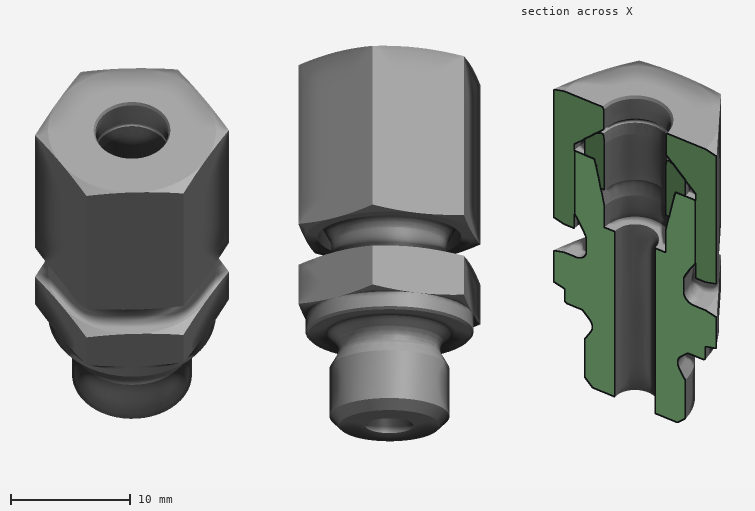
import cadquery as cq
import math


hex_width = 14.0
hex_chamfer_angle = 15.0
union_thread_diameter = 12.0
tube_diameter = 6.0
relief_angle = 30.0
relief_radius = 1.0

stud_length = 8.0
collar_height = 1.5
body_hex_height = 4.0
hex_base_z = stud_length + collar_height
hex_top_z = hex_base_z + body_hex_height
body_top_z = 25.0
nut_top_z = 31.0
nut_length = 14.5
nut_base_z = nut_top_z - nut_length

stud_diameter = 10.0
stud_chamfer = 0.8
stud_thread_top_z = 5.0
stud_shoulder_diameter = 10.45
collar_chamfer = 0.2

neck_diameter = 9.7
neck_straight_top_z = 15.86

through_bore_diameter = 4.0
tube_socket_depth = 7.0
mouth_diameter = 8.0
mouth_half_angle = 12.0

nut_bore_diameter = 6.1
nut_bore_chamfer_diameter = 6.4
nut_bore_chamfer_height = 0.25
nut_bore_length = 2.39

ring_top_z = 28.1
ring_collar_diameter = 10.0
ring_face_diameter = 6.80
ring_bevel_angle = 30.0
ring_mouth_diameter = 6.24
ring_taper_length = 1.1
ring_tail_length = 3.0


def slope(angle):
    return math.tan(math.radians(angle))


def revolve_profile(sketch):
    """Turn a closed (radius, z) outline about the Z axis."""
    return sketch.close().revolve(360, (0, 0, 0), (0, 1, 0))


def circle_edge(radius, z):
    """Selector for the edges around the axis at one radius and height."""
    tolerance = 0.01
    lower = (-radius - tolerance, -radius - tolerance, z - tolerance)
    upper = (radius + tolerance, radius + tolerance, z + tolerance)
    return cq.selectors.BoxSelector(lower, upper, boundingbox=True)


def chamfered_hexagon(base_z, height):
    """Hexagon prism with corners at +Y and -Y, its corners turned off at both ends."""
    corner_radius = hex_width / 2 / math.cos(math.radians(30))
    face_radius = hex_width / 2
    drop = (corner_radius - face_radius) * slope(hex_chamfer_angle)
    top_z = base_z + height
    prism = (
        cq.Workplane("XY", origin=(0, 0, base_z))
        .polygon(6, 2 * corner_radius)
        .extrude(height)
        .rotate((0, 0, 0), (0, 0, 1), 30)
    )
    envelope = revolve_profile(
        cq.Workplane("XZ")
        .moveTo(0, base_z)
        .lineTo(face_radius, base_z)
        .lineTo(corner_radius, base_z + drop)
        .lineTo(corner_radius, top_z - drop)
        .lineTo(face_radius, top_z)
        .lineTo(0, top_z)
    )
    return prism.intersect(envelope)


def make_stud():
    """Lower thread, its rounded relief groove and the round collar."""
    radius = stud_diameter / 2
    shoulder_radius = stud_shoulder_diameter / 2
    collar_radius = hex_width / 2
    flank = slope(relief_angle)
    axis_gap = stud_length - shoulder_radius
    groove_z = (radius + flank * stud_thread_top_z + axis_gap) / (1 + flank)
    groove_radius = groove_z - axis_gap
    stud = revolve_profile(
        cq.Workplane("XZ")
        .lineTo(radius - stud_chamfer, 0)
        .lineTo(radius, stud_chamfer)
        .lineTo(radius, stud_thread_top_z)
        .lineTo(groove_radius, groove_z)
        .lineTo(shoulder_radius, stud_length)
        .lineTo(collar_radius - collar_chamfer, stud_length)
        .lineTo(collar_radius, stud_length + collar_chamfer)
        .lineTo(collar_radius, hex_base_z)
        .lineTo(0, hex_base_z)
    )
    return stud.edges(circle_edge(groove_radius, groove_z)).fillet(relief_radius)


def make_union_end():
    """Upper neck with its rounded foot and flared top, and the union thread above it."""
    neck_radius = neck_diameter / 2
    thread_radius = union_thread_diameter / 2
    foot_top_z = hex_top_z + relief_radius
    arc_offset = relief_radius * (1 - math.cos(math.radians(45)))
    flare_z = neck_straight_top_z + relief_radius * slope(relief_angle / 2)
    thread_base_z = flare_z + (thread_radius - neck_radius) / slope(relief_angle)
    union_end = revolve_profile(
        cq.Workplane("XZ")
        .moveTo(0, hex_top_z)
        .lineTo(neck_radius + relief_radius, hex_top_z)
        .threePointArc(
            (neck_radius + arc_offset, hex_top_z + arc_offset),
            (neck_radius, foot_top_z),
        )
        .lineTo(neck_radius, flare_z)
        .lineTo(thread_radius, thread_base_z)
        .lineTo(thread_radius, body_top_z)
        .lineTo(0, body_top_z)
    )
    return union_end.edges(circle_edge(neck_radius, flare_z)).fillet(relief_radius)


def make_body_bore():
    """Through bore, tube socket and the tapered mouth that takes the cutting ring."""
    bore_radius = through_bore_diameter / 2
    socket_radius = tube_diameter / 2
    mouth_radius = mouth_diameter / 2
    socket_floor_z = body_top_z - tube_socket_depth
    mouth_base_z = body_top_z - (mouth_radius - socket_radius) / slope(mouth_half_angle)
    return revolve_profile(
        cq.Workplane("XZ")
        .lineTo(bore_radius, 0)
        .lineTo(bore_radius, socket_floor_z)
        .lineTo(socket_radius, socket_floor_z)
        .lineTo(socket_radius, mouth_base_z)
        .lineTo(mouth_radius, body_top_z)
        .lineTo(0, body_top_z)
    )


def make_body():
    hexagon = chamfered_hexagon(hex_base_z, body_hex_height)
    return make_stud().union(hexagon).union(make_union_end()).cut(make_body_bore())


def make_nut():
    """Long hexagon nut: threaded bore, 45 degree inner cone and narrow tube bore."""
    thread_radius = union_thread_diameter / 2
    bore_radius = nut_bore_diameter / 2
    cone_top_z = nut_top_z - nut_bore_length
    cone_base_z = cone_top_z - (thread_radius - bore_radius)
    cavity = revolve_profile(
        cq.Workplane("XZ")
        .moveTo(0, nut_base_z)
        .lineTo(thread_radius, nut_base_z)
        .lineTo(thread_radius, cone_base_z)
        .lineTo(bore_radius, cone_top_z)
        .lineTo(bore_radius, nut_top_z - nut_bore_chamfer_height)
        .lineTo(nut_bore_chamfer_diameter / 2, nut_top_z)
        .lineTo(0, nut_top_z)
    )
    return chamfered_hexagon(nut_base_z, nut_length).cut(cavity)


def make_cutting_ring():
    """Ring seated against the nut's inner cone, its tapered tail in the body's mouth."""
    face_radius = ring_face_diameter / 2
    collar_radius = ring_collar_diameter / 2
    tail_radius = mouth_diameter / 2
    tube_radius = tube_diameter / 2
    tail_base_z = body_top_z - ring_tail_length
    tail_end_radius = tail_radius - ring_tail_length * slope(mouth_half_angle)
    cone_sum = nut_bore_diameter / 2 + nut_top_z - nut_bore_length
    bevel = slope(ring_bevel_angle)
    bevel_radius = (cone_sum - ring_top_z - bevel * face_radius) / (1 - bevel)
    return revolve_profile(
        cq.Workplane("XZ")
        .moveTo(ring_mouth_diameter / 2, ring_top_z)
        .lineTo(face_radius, ring_top_z)
        .lineTo(bevel_radius, cone_sum - bevel_radius)
        .lineTo(collar_radius, cone_sum - collar_radius)
        .lineTo(collar_radius, body_top_z)
        .lineTo(tail_radius, body_top_z)
        .lineTo(tail_end_radius, tail_base_z)
        .lineTo(tube_radius, tail_base_z)
        .lineTo(tube_radius, ring_top_z - ring_taper_length)
    )


body = make_body()
nut = make_nut()
cutting_ring = make_cutting_ring()

result = cq.Compound.makeCompound([body.solids().val(), nut.solids().val(), cutting_ring.val()])